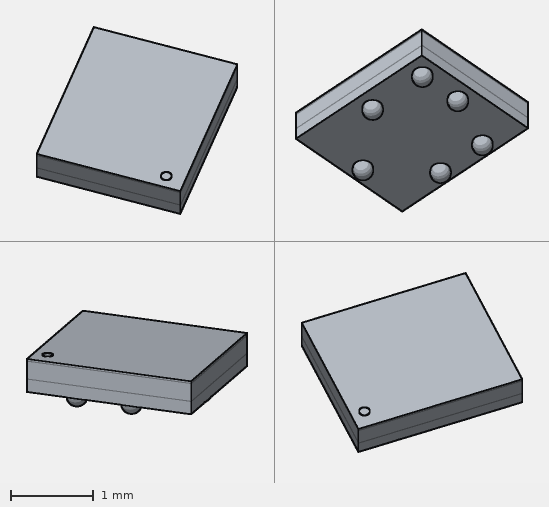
import cadquery as cq

BODY_X = 1.83
BODY_Y = 2.13
SUBSTRATE_HEIGHT = 0.17
MOLD_HEIGHT = 0.23
COATING_HEIGHT = 0.025

BALL_DIAMETER = 0.255
BALL_DROP = 0.175

LEFT_X = -0.678
RIGHT_X = 0.702
END_ROW_Y = 0.842
BALL_CENTERS = [
    (LEFT_X, -END_ROW_Y),
    (LEFT_X, 0.0),
    (0.012, END_ROW_Y),
    (RIGHT_X, 0.208),
    (RIGHT_X, -0.5),
    (-0.069, -END_ROW_Y),
]

MARK_DIAMETER = 0.13
MARK_DEPTH = 0.01
MARK_EDGE_OFFSET_X = 0.238
MARK_EDGE_OFFSET_Y = 0.175

BODY_BOTTOM = BALL_DROP
BODY_TOP = BODY_BOTTOM + SUBSTRATE_HEIGHT + MOLD_HEIGHT + COATING_HEIGHT


def make_layer(bottom, height):
    """Full-outline slab whose underside is at the given Z."""
    return (
        cq.Workplane("XY", origin=(0, 0, bottom))
        .box(BODY_X, BODY_Y, height, centered=(True, True, False))
    )


def make_body():
    """Stack the layers, keeping the seams between them on the side walls."""
    body = make_layer(BODY_BOTTOM, SUBSTRATE_HEIGHT)
    top = BODY_BOTTOM + SUBSTRATE_HEIGHT
    for height in (MOLD_HEIGHT, COATING_HEIGHT):
        body = body.union(make_layer(top, height), clean=False)
        top += height
    return body


def make_ball(x, y):
    """Sphere with its poles along X, resting on the plane Z = 0."""
    radius = BALL_DIAMETER / 2
    return cq.Workplane("YZ", origin=(x, y, radius)).sphere(radius)


def make_pin_mark():
    """Cutter for the round recess near the +X, -Y corner of the top."""
    x = BODY_X / 2 - MARK_EDGE_OFFSET_X
    y = MARK_EDGE_OFFSET_Y - BODY_Y / 2
    return (
        cq.Workplane("XY", origin=(x, y, BODY_TOP - MARK_DEPTH))
        .circle(MARK_DIAMETER / 2)
        .extrude(MARK_DEPTH)
    )


result = make_body()
for ball_x, ball_y in BALL_CENTERS:
    result = result.union(make_ball(ball_x, ball_y), clean=False)
result = result.cut(make_pin_mark(), clean=False)